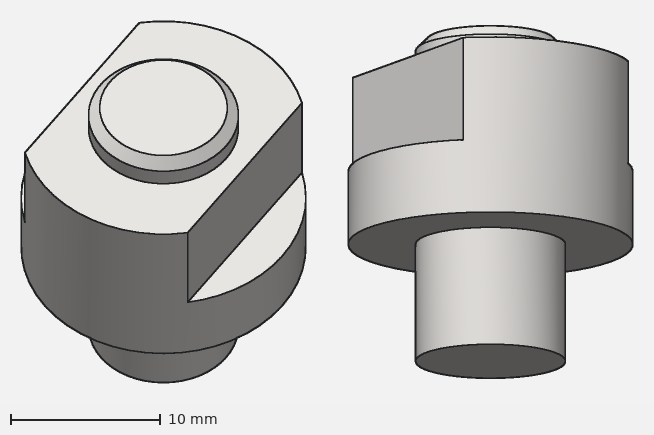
import cadquery as cq

total_height = 22.0
body_diameter = 19.0
pin_diameter = 10.0
flat_width = 13.0
lower_pin_length = 8.0
flange_height = 5.0
flat_height = 7.0
tip_chamfer = 0.75

flange_bottom = lower_pin_length
flange_top = flange_bottom + flange_height


def make_pin():
    """Round pin running the whole height, chamfered at its upper end."""
    pin = cq.Workplane("XY").circle(pin_diameter / 2).extrude(total_height)
    return pin.faces(">Z").chamfer(tip_chamfer)


def make_body():
    """Round flange carrying a narrower block with two parallel flats."""
    flange = (
        cq.Workplane("XY", origin=(0, 0, flange_bottom))
        .circle(body_diameter / 2)
        .extrude(flange_height)
    )
    block_plane = cq.Workplane("XY", origin=(0, 0, flange_top))
    round_block = block_plane.circle(body_diameter / 2).extrude(flat_height)
    flat_slab = block_plane.rect(flat_width, body_diameter).extrude(flat_height)
    return flange.union(round_block.intersect(flat_slab))


result = make_body().union(make_pin())